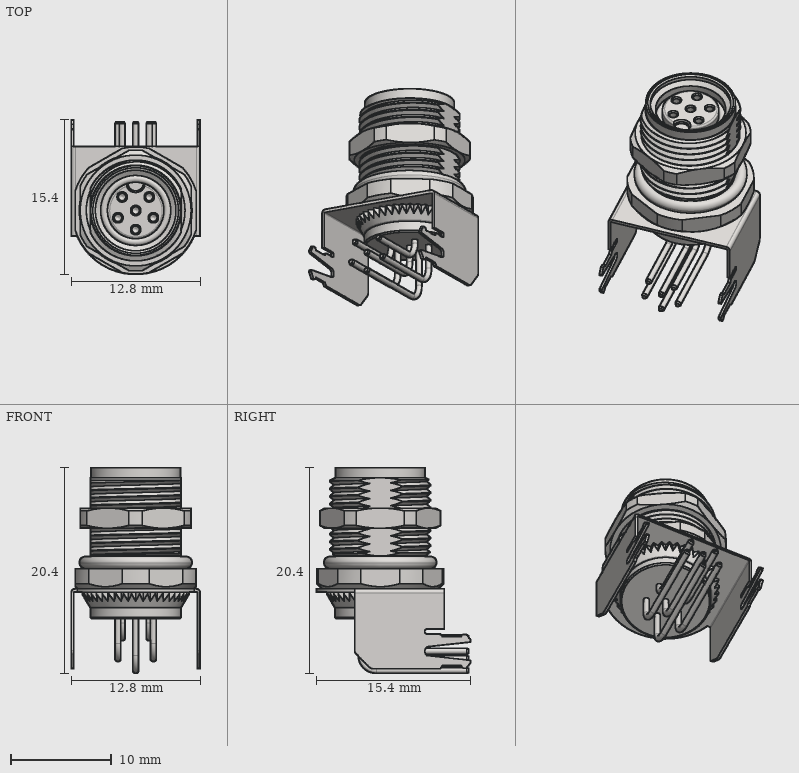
import cadquery as cq
import math


Z_TOP = 12.0
Z_THREAD_TOP = 11.0
Z_THREAD_BOTTOM = 3.25
Z_NUT = 6.0
Z_CONE_TOP = -0.52
Z_CONE_BOTTOM = -1.77
Z_BODY_BOTTOM = -3.0

COLLAR_RADIUS = 4.45
THREAD_RADIUS = 5.0
ROOT_RADIUS = 4.62
THREAD_PITCH = 0.75
THREAD_CREST = 0.08
THREAD_GROOVE_END = 10.84
THREAD_TOP_CHAMFER_HEIGHT = 0.25
THREAD_BOTTOM_CHAMFER_HEIGHT = 0.4
NECK_RADIUS = 4.45
BARREL_FLATS = 9.0

NUT_FLATS = 11.0
NUT_RADIUS = 6.0
NUT_HEIGHT = 2.0
NUT_BORE_RADIUS = 4.9
NUT_CHAMFER = 0.5
NUT_CHAMFER_HEIGHT = 0.28
SEAL_TUBE_RADIUS = 0.6
SEAL_RING_RADIUS = 5.0
FLANGE_FLATS = 12.0
FLANGE_RADIUS = 6.3
FLANGE_HEIGHT = 2.0
FLANGE_CHAMFER = 0.5

CONE_BOTTOM_RADIUS = 4.58
CONE_STEP_HEIGHT = 0.13
REAR_RADIUS = 4.5
REAR_EDGE_CHAMFER = 0.15
TOOTH_COUNT = 42
TOOTH_TIP_RADIUS = 5.32
TOOTH_ROOT_RADIUS = 4.9

MOUTH_RADIUS = 4.25
MOUTH_CHAMFER = 0.25
MOUTH_CHAMFER_HEIGHT = 0.1
MOUTH_DEPTH = 0.5
SOCKET_RADIUS = 3.48
SOCKET_CONE_END = 0.86
SOCKET_DEPTH = 3.0
INSERT_RADIUS = 2.8
INSERT_EDGE_FILLET = 0.2
INSERT_TOP = 11.2
FACE_SEAL_TOP = 10.5
KEY_RADIUS = 0.77
KEY_OFFSET = 2.71
KEY_DEPTH = 0.4
KEY_EDGE = 0.16
CONTACT_RADIUS = 0.37
CONTACT_DEPTH = 3.0
CONTACT_COUNTERSINK = 0.14
CONTACT_POINT_ANGLE = 118.0
CONTACT_CIRCLE = 1.9
CONTACT_ANGLES = (45, 135, 202.5, 270, 337.5)

PIN_DIAMETER = 0.6
PIN_BEND_RADIUS = 1.5
PIN_END_Y = 8.8
PIN_TIP_CHAMFER = 0.1
PIN_TIP_LENGTH = 0.2
REAR_PIN_Z = -4.88
CENTRE_PIN_Z = -6.2
MIDDLE_PIN_Z = -6.93
FRONT_PIN_Z = -8.1

PLATE_THICKNESS = 0.33
WALL_THICKNESS = 0.27
BRACKET_WIDTH = 12.8
BRACKET_BACK = 6.35
BRACKET_FRONT = -2.55
BRACKET_FRONT_RADIUS = BRACKET_BACK
BEND_RADIUS = 0.4
SIDE_CORNER = 1.6
SIDE_CORNER_FILLET = 0.5
PRONG_CENTRE_Z = -6.2
PRONG_HALF_SPREAD = 1.72
PRONG_TIP_Y = 9.0
NOTCH_TOP = -4.0
NOTCH_END_Y = 4.42
SLOT_ROUND_Y = 4.8
SLOT_HALF_WIDTH = 0.45


def ring_about_axis(ring_radius, tube_radius, z):
    torus = cq.Solid.makeTorus(ring_radius, tube_radius, cq.Vector(0, 0, z), cq.Vector(0, 0, 1))
    return cq.Workplane(obj=torus)


def turned(points):
    """Solid of revolution from (radius, z) points."""
    return cq.Workplane("XZ").polyline(points).close().revolve(360, (0, 0, 0), (0, 1, 0))


def thread_groove_turn():
    """One full turn of the right-handed V groove, starting at Z = 0 on the -X side."""
    clearance = 0.03
    flank = (THREAD_PITCH - THREAD_CREST) / 2 / (THREAD_RADIUS - ROOT_RADIUS)
    outer_radius = THREAD_RADIUS + clearance
    half_mouth = (outer_radius - ROOT_RADIUS) * flank
    helix = cq.Wire.makeHelix(THREAD_PITCH, THREAD_PITCH, ROOT_RADIUS)
    return (
        cq.Workplane("XZ")
        .polyline([
            (ROOT_RADIUS, 0),
            (outer_radius, -half_mouth),
            (outer_radius, half_mouth),
        ])
        .close()
        .sweep(cq.Workplane(obj=helix), isFrenet=True)
        .rotate((0, 0, 0), (0, 0, 1), 180)
    )


def threaded_barrel():
    half_flats = BARREL_FLATS / 2
    blank = turned([
        (0, 0),
        (NECK_RADIUS, 0),
        (NECK_RADIUS, Z_THREAD_BOTTOM),
        (half_flats, Z_THREAD_BOTTOM),
        (THREAD_RADIUS, Z_THREAD_BOTTOM + THREAD_BOTTOM_CHAMFER_HEIGHT),
        (THREAD_RADIUS, Z_THREAD_TOP - THREAD_TOP_CHAMFER_HEIGHT),
        (half_flats, Z_THREAD_TOP),
        (COLLAR_RADIUS, Z_THREAD_TOP),
        (COLLAR_RADIUS, Z_TOP),
        (0, Z_TOP),
    ])
    slab = cq.Workplane("XY").box(BARREL_FLATS, 4 * THREAD_RADIUS, 4 * Z_TOP)
    barrel = blank
    groove_turn = thread_groove_turn()
    turn_count = math.ceil((THREAD_GROOVE_END - Z_THREAD_BOTTOM) / THREAD_PITCH)
    for turn in range(turn_count):
        turn_start = THREAD_GROOVE_END - (turn + 1) * THREAD_PITCH
        barrel = barrel.cut(groove_turn.translate((0, 0, turn_start)))
    return barrel.intersect(slab)


def hexagon(flats, height):
    """Hexagonal prism with one pair of flats facing +X and -X."""
    corners_diameter = flats / math.cos(math.pi / 6)
    return cq.Workplane("XY").polygon(6, corners_diameter).extrude(height).rotate((0, 0, 0), (0, 0, 1), 30)


def nut():
    inner = NUT_RADIUS - NUT_CHAMFER
    rounded = turned([
        (NUT_BORE_RADIUS, 0),
        (inner, 0),
        (NUT_RADIUS, NUT_CHAMFER_HEIGHT),
        (NUT_RADIUS, NUT_HEIGHT - NUT_CHAMFER_HEIGHT),
        (inner, NUT_HEIGHT),
        (NUT_BORE_RADIUS, NUT_HEIGHT),
    ])
    return hexagon(NUT_FLATS, NUT_HEIGHT).intersect(rounded).translate((0, 0, Z_NUT))


def flange():
    rounded = turned([
        (0, 0),
        (FLANGE_RADIUS - FLANGE_CHAMFER, 0),
        (FLANGE_RADIUS, FLANGE_CHAMFER),
        (FLANGE_RADIUS, FLANGE_HEIGHT),
        (0, FLANGE_HEIGHT),
    ])
    return hexagon(FLANGE_FLATS, FLANGE_HEIGHT).intersect(rounded)


def knurled_cone():
    """Cone below the plate whose wide end carries V-shaped teeth parallel to the axis."""
    cone = turned([
        (0, 0),
        (TOOTH_TIP_RADIUS, 0),
        (TOOTH_TIP_RADIUS, Z_CONE_TOP),
        (CONE_BOTTOM_RADIUS, Z_CONE_BOTTOM),
        (REAR_RADIUS, Z_CONE_BOTTOM - CONE_STEP_HEIGHT),
        (0, Z_CONE_BOTTOM - CONE_STEP_HEIGHT),
    ])
    half_pitch = math.pi / TOOTH_COUNT
    outline = []
    for tooth in range(TOOTH_COUNT):
        root_angle = 2 * half_pitch * tooth - math.pi / 2
        tip_angle = root_angle + half_pitch
        outline.append((TOOTH_ROOT_RADIUS * math.cos(root_angle), TOOTH_ROOT_RADIUS * math.sin(root_angle)))
        outline.append((TOOTH_TIP_RADIUS * math.cos(tip_angle), TOOTH_TIP_RADIUS * math.sin(tip_angle)))
    toothed_prism = cq.Workplane("XY").polyline(outline).close().extrude(Z_BODY_BOTTOM)
    return cone.intersect(toothed_prism)


def rear_cylinder():
    cylinder = cq.Workplane("XY").circle(REAR_RADIUS).extrude(Z_BODY_BOTTOM)
    return cylinder.faces("<Z").chamfer(REAR_EDGE_CHAMFER)


def socket_cavity():
    """Stepped bore in the top of the barrel."""
    throat = MOUTH_RADIUS - MOUTH_CHAMFER
    return turned([
        (0, Z_TOP),
        (MOUTH_RADIUS, Z_TOP),
        (throat, Z_TOP - MOUTH_CHAMFER_HEIGHT),
        (throat, Z_TOP - MOUTH_DEPTH),
        (SOCKET_RADIUS, Z_TOP - SOCKET_CONE_END),
        (SOCKET_RADIUS, Z_TOP - SOCKET_DEPTH),
        (0, Z_TOP - SOCKET_DEPTH),
    ])


def contact_positions():
    ring = [
        (CONTACT_CIRCLE * math.cos(math.radians(a)), CONTACT_CIRCLE * math.sin(math.radians(a)))
        for a in CONTACT_ANGLES
    ]
    return ring + [(0, 0)]


def insert():
    floor = Z_TOP - SOCKET_DEPTH
    body = (
        cq.Workplane("XY").workplane(offset=floor).circle(INSERT_RADIUS).extrude(INSERT_TOP - floor)
        .faces(">Z").edges().fillet(INSERT_EDGE_FILLET)
    )
    key = (
        cq.Workplane("XY").workplane(offset=INSERT_TOP - KEY_DEPTH)
        .center(0, KEY_OFFSET).circle(KEY_RADIUS).extrude(KEY_DEPTH)
    )
    key_edge = cq.Solid.makeCone(
        KEY_RADIUS, KEY_RADIUS + KEY_EDGE, KEY_EDGE, cq.Vector(0, KEY_OFFSET, INSERT_TOP - KEY_EDGE)
    )
    body = body.cut(key).cut(cq.Workplane(obj=key_edge))
    seal_tube = (SOCKET_RADIUS - INSERT_RADIUS) / 2
    seal = ring_about_axis(INSERT_RADIUS + seal_tube, seal_tube, FACE_SEAL_TOP - seal_tube)
    filler = (
        cq.Workplane("XY").workplane(offset=floor).circle(SOCKET_RADIUS).extrude(FACE_SEAL_TOP - seal_tube - floor)
    )
    return body.union(filler).union(seal)


def contact_holes():
    """Countersunk contact holes with conical bottoms."""
    point_height = CONTACT_RADIUS / math.tan(math.radians(CONTACT_POINT_ANGLE / 2))
    hole = turned([
        (0, INSERT_TOP),
        (CONTACT_RADIUS + CONTACT_COUNTERSINK, INSERT_TOP),
        (CONTACT_RADIUS, INSERT_TOP - CONTACT_COUNTERSINK),
        (CONTACT_RADIUS, INSERT_TOP - CONTACT_DEPTH),
        (0, INSERT_TOP - CONTACT_DEPTH - point_height),
    ])
    holes = cq.Workplane("XY")
    for x, y in contact_positions():
        holes = holes.add(hole.translate((x, y, 0)))
    return holes.combine()


def solder_pin(x, y, leg_z):
    """Pin running down from the body, then bent to leave toward +Y at height leg_z."""
    bend_z = leg_z + PIN_BEND_RADIUS
    bend_y = y + PIN_BEND_RADIUS
    diagonal = PIN_BEND_RADIUS * math.sqrt(0.5)
    path = (
        cq.Workplane("YZ", origin=(x, 0, 0))
        .moveTo(y, Z_BODY_BOTTOM + PIN_DIAMETER)
        .lineTo(y, bend_z)
        .threePointArc((bend_y - diagonal, bend_z - diagonal), (bend_y, leg_z))
        .lineTo(PIN_END_Y, leg_z)
    )
    profile = cq.Workplane("XY", origin=(x, y, Z_BODY_BOTTOM + PIN_DIAMETER)).circle(PIN_DIAMETER / 2)
    return profile.sweep(path).faces(">Y").chamfer(PIN_TIP_LENGTH, PIN_TIP_CHAMFER)


def solder_pins():
    heights = (REAR_PIN_Z, REAR_PIN_Z, MIDDLE_PIN_Z, FRONT_PIN_Z, MIDDLE_PIN_Z, CENTRE_PIN_Z)
    pins = cq.Workplane("XY")
    for (x, y), leg_z in zip(contact_positions(), heights):
        pins = pins.add(solder_pin(x, y, leg_z))
    return pins.combine()


def side_wall_outline():
    """Bracket side wall in the YZ plane, with two barbed snap prongs pointing toward +Y."""
    prong_edge = [
        (5.95, PRONG_HALF_SPREAD),
        (6.2, 1.42),
        (8.0, 1.42),
        (8.13, 1.65),
        (8.55, 1.7),
        (PRONG_TIP_Y, 1.1),
        (8.95, 0.9),
        (SLOT_ROUND_Y, SLOT_HALF_WIDTH),
    ]
    upper = [(y, PRONG_CENTRE_Z + d) for y, d in prong_edge]
    lower = [(y, PRONG_CENTRE_Z - d) for y, d in reversed(prong_edge)]
    notch_bottom = PRONG_CENTRE_Z + PRONG_HALF_SPREAD
    notch_radius = (NOTCH_TOP - notch_bottom) / 2
    notch_straight_end = NOTCH_END_Y + notch_radius
    outline = (
        cq.Workplane("YZ")
        .moveTo(BRACKET_FRONT, 0)
        .lineTo(BRACKET_BACK, 0)
        .lineTo(BRACKET_BACK, NOTCH_TOP)
        .lineTo(notch_straight_end, NOTCH_TOP)
        .threePointArc((NOTCH_END_Y, NOTCH_TOP - notch_radius), (notch_straight_end, notch_bottom))
    )
    for point in upper:
        outline = outline.lineTo(*point)
    outline = outline.threePointArc((NOTCH_END_Y, PRONG_CENTRE_Z), lower[0])
    for point in lower[1:]:
        outline = outline.lineTo(*point)
    return (
        outline
        .lineTo(BRACKET_FRONT + SIDE_CORNER, notch_bottom - 2 * PRONG_HALF_SPREAD)
        .lineTo(BRACKET_FRONT, notch_bottom - 2 * PRONG_HALF_SPREAD + SIDE_CORNER)
        .close()
    )


def bracket():
    """Sheet-metal plate with a rounded front and two side walls folded down."""
    half_width = BRACKET_WIDTH / 2
    length = PRONG_TIP_Y - BRACKET_FRONT
    middle_y = (PRONG_TIP_Y + BRACKET_FRONT) / 2
    channel = (
        cq.Workplane("XY", origin=(0, middle_y, 0))
        .rect(BRACKET_WIDTH, length).extrude(-BRACKET_WIDTH)
        .edges("|Y and >Z").fillet(BEND_RADIUS)
    )
    channel_inside = (
        cq.Workplane("XY", origin=(0, middle_y, -PLATE_THICKNESS))
        .rect(BRACKET_WIDTH - 2 * WALL_THICKNESS, length).extrude(-BRACKET_WIDTH)
        .edges("|Y and >Z").fillet(BEND_RADIUS - PLATE_THICKNESS)
    )
    corner_zone = cq.selectors.BoxSelector(
        (-BRACKET_WIDTH, BRACKET_FRONT - SIDE_CORNER, PRONG_CENTRE_Z - 2 * PRONG_HALF_SPREAD),
        (BRACKET_WIDTH, BRACKET_FRONT + 2 * SIDE_CORNER, PRONG_CENTRE_Z + PRONG_HALF_SPREAD),
    )
    silhouette = (
        side_wall_outline().extrude(half_width, both=True)
        .edges("|X").edges(corner_zone).fillet(SIDE_CORNER_FILLET)
    )
    folded = channel.cut(channel_inside).intersect(silhouette)
    flat_width = BRACKET_WIDTH - 2 * BEND_RADIUS
    tongue = (
        cq.Workplane("XY").circle(BRACKET_FRONT_RADIUS).extrude(-PLATE_THICKNESS)
        .intersect(cq.Workplane("XY").box(flat_width, BRACKET_WIDTH, BRACKET_WIDTH))
    )
    return folded.union(tongue)


housing = (
    flange()
    .union(bracket())
    .union(knurled_cone())
    .union(rear_cylinder())
    .union(solder_pins())
    .union(ring_about_axis(SEAL_RING_RADIUS, SEAL_TUBE_RADIUS, FLANGE_HEIGHT + SEAL_TUBE_RADIUS))
)
socketed_barrel = threaded_barrel().cut(socket_cavity()).union(insert()).cut(contact_holes())

result = socketed_barrel.union(nut()).union(housing)